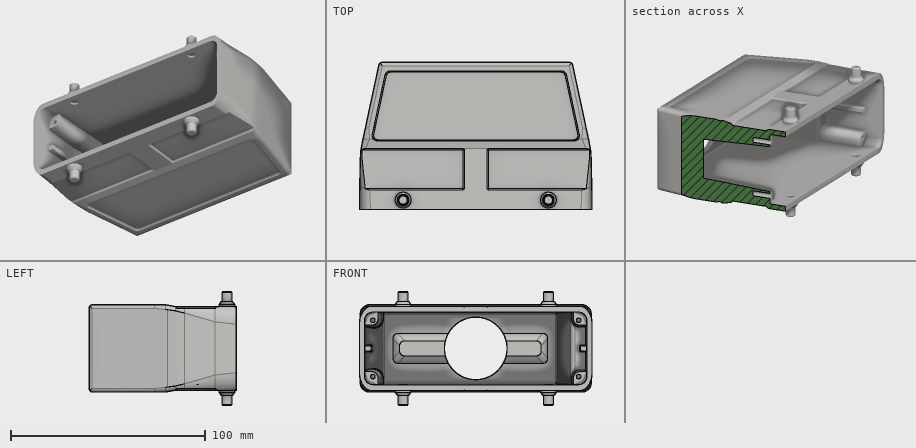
import cadquery as cq


length = 76.0
mouth_half_width = 60.0
rear_half_height = 22.5
front_half_height = 21.6
rim_end = 11.0
rim_end_half_width = 59.9
bend_start = 26.8
bend_start_half_width = 59.5
bend_end = 35.6
bend_end_half_width = 58.3
rear_half_width = 49.7
shoulder_low = 31.5
shoulder_low_half_width = 58.9
shoulder_high = 36.5
rear_edge_radius = 1.9
side_slope = (bend_end_half_width - rear_half_width) / (length - bend_end)

mouth_round = (5.8, 9.1)
rim_round = (5.2, 7.9)
bend_round = (2.6, 3.4)
shoulder_low_round = (2.2, 2.2)
shoulder_high_round = (3.4, 2.5)
rear_round = (1.9, 1.9)
rear_round_start = 42.1
corner_margin = 2.4
bezier_handle = 0.5

wall = 2.9
cavity_mouth_half_width = 57.4
mouth_corner_radius = 4.5
cavity_half_height = front_half_height - wall
floor_half_height = 18.2
floor_round = 0.8
floor_y = length - wall
cavity_bend = 30.0
cavity_bend_half_width = 56.5
left_floor_x = -47.8
ledge_y = 31.8
ledge_edge_x = 49.2
right_floor_x = 41.8
ledge_radius = 2.4

entry_radius = 16.1
pad_length = 79.7
pad_width = 15.4
pad_offset_x = -2.8
pad_height = 3.6
pad_end_run = 3.4
pad_flank_run = 3.8
pad_corner_radius = 2.5

boss_front = 9.0
boss_inner_x = 50.4
boss_inner_z = 12.0
boss_round = 3.1
boss_draft = 2.5
screw_x = 53.0
screw_z = 14.5
screw_radius = 1.2
screw_depth = 9.6
rib_half_height = 1.3
rib_inner_x = 54.0
rib_round = 0.5
rib_draft = 1.2

pin_x = 37.5
pin_y = 4.9
pin_radius = 2.6
pin_tip = 29.3
pin_chamfer = 0.5
collar_radius = 4.1
collar_rim_height = 1.1
collar_height = 2.6
collar_top_radius = 3.0
dimple_radius = 2.5
dimple_depth = 0.7

panel_depth = 1.0
panel_draft = 37.0
panel_front = 10.2
panel_gap = 11.5
panel_corner_radius = 1.1
label_front = 35.3
label_back = 71.5
label_margin = 4.3
label_corner_radius = 2.9


def slanted_half_width(y):
    """Half width of the straight slanted side, continued to any Y."""
    return rear_half_width + side_slope * (length - y)


def mirrored_four(solid):
    """The solid and its copies across the X = 0 and Z = 0 planes."""
    pair = solid.union(solid.mirror("YZ"))
    return pair.union(pair.mirror("XY"))


def half_shell_outline():
    """Right half of the shell in the XY plane, closed along the centre line."""
    return (
        cq.Workplane("XY")
        .moveTo(0, 0)
        .lineTo(mouth_half_width, 0)
        .lineTo(rim_end_half_width, rim_end)
        .lineTo(bend_start_half_width, bend_start)
        .tangentArcPoint((bend_end_half_width, bend_end), relative=False)
        .lineTo(rear_half_width, length)
        .lineTo(0, length)
        .close()
    )


def make_shell():
    """Outer body: the plan and the side profile intersected, with its long edges rounded."""
    half = half_shell_outline().extrude(rear_half_height, both=True)
    rear_corner = cq.selectors.NearestToPointSelector((rear_half_width, length, 0))
    half = half.edges(rear_corner).fillet(rear_edge_radius)
    plan = half.union(half.mirror("YZ"))
    profile = (
        cq.Workplane("YZ")
        .polyline([
            (0, -front_half_height),
            (shoulder_low, -front_half_height),
            (shoulder_high, -rear_half_height),
            (length, -rear_half_height),
            (length, rear_half_height),
            (shoulder_high, rear_half_height),
            (shoulder_low, front_half_height),
            (0, front_half_height),
        ])
        .close()
        .extrude(mouth_half_width, both=True)
        .edges("|X and >Y")
        .fillet(rear_edge_radius)
    )
    return plan.intersect(profile).cut(mirrored_four(edge_cutter()))


def edge_section(y, side, top, rounding):
    """Wire in a constant-Y plane enclosing what the rounded edge removes."""
    round_x, round_z = rounding

    def at(x, z):
        return cq.Vector(x, y, z)

    start = at(side, top - round_z)
    end = at(side - round_x, top)
    reach = 1 - bezier_handle
    curve = cq.Edge.makeBezier([
        start,
        at(side, top - round_z * reach),
        at(side - round_x * reach, top),
        end,
    ])
    outer = [
        end,
        at(side - round_x, top + corner_margin),
        at(side + corner_margin, top + corner_margin),
        at(side + corner_margin, top - round_z - corner_margin / 2),
        start,
    ]
    lines = [cq.Edge.makeLine(a, b) for a, b in zip(outer, outer[1:])]
    return cq.Wire.assembleEdges([curve] + lines)


def edge_cutter():
    """Rounding of one long edge: wide at the mouth, narrow towards the rear."""
    sections = [
        (0, mouth_half_width, front_half_height, mouth_round),
        (rim_end, rim_end_half_width, front_half_height, rim_round),
        (bend_start, bend_start_half_width, front_half_height, bend_round),
        (shoulder_low, shoulder_low_half_width, front_half_height, shoulder_low_round),
        (shoulder_high, slanted_half_width(shoulder_high), rear_half_height, shoulder_high_round),
        (rear_round_start, slanted_half_width(rear_round_start), rear_half_height, rear_round),
        (length, rear_half_width, rear_half_height, rear_round),
    ]
    wires = [edge_section(*section) for section in sections]
    return cq.Workplane(cq.Solid.makeLoft(wires, True))


def make_corner_fill():
    """What rounds the upper right corner of the cavity, from the mouth to the screw boss."""
    return (
        cq.Workplane("XZ")
        .moveTo(cavity_mouth_half_width, cavity_half_height - mouth_corner_radius)
        .radiusArc((cavity_mouth_half_width - mouth_corner_radius, cavity_half_height), -mouth_corner_radius)
        .lineTo(cavity_mouth_half_width - mouth_corner_radius, front_half_height)
        .lineTo(mouth_half_width, front_half_height)
        .lineTo(mouth_half_width, cavity_half_height - mouth_corner_radius)
        .close()
        .extrude(-boss_front)
    )


def make_chamber():
    """Drafted space of the cavity; the right side has a thick wall behind a ledge."""
    plan = (
        cq.Workplane("XY")
        .polyline([
            (-cavity_mouth_half_width, 0),
            (cavity_mouth_half_width, 0),
            (cavity_bend_half_width, ledge_y),
            (ledge_edge_x, ledge_y),
            (right_floor_x, floor_y),
            (left_floor_x, floor_y),
            (-cavity_bend_half_width, cavity_bend),
        ])
        .close()
        .extrude(cavity_half_height, both=True)
        .edges(cq.selectors.NearestToPointSelector((ledge_edge_x, ledge_y, 0)))
        .fillet(ledge_radius)
    )
    profile = (
        cq.Workplane("YZ")
        .polyline([
            (0, -cavity_half_height),
            (floor_y, -floor_half_height),
            (floor_y, floor_half_height),
            (0, cavity_half_height),
        ])
        .close()
        .extrude(mouth_half_width, both=True)
    )
    return plan.intersect(profile).faces(">Y").edges().fillet(floor_round)


def make_boss():
    """Screw boss filling the upper right corner of the cavity, growing towards the rear."""
    boss = (
        cq.Workplane("XZ", origin=(0, boss_front, 0))
        .moveTo(boss_inner_x, boss_inner_z + boss_round)
        .radiusArc((boss_inner_x + boss_round, boss_inner_z), -boss_round)
        .lineTo(mouth_half_width, boss_inner_z)
        .lineTo(mouth_half_width, front_half_height)
        .lineTo(boss_inner_x, front_half_height)
        .close()
        .extrude(-(floor_y - boss_front), taper=-boss_draft)
    )
    hole = (
        cq.Workplane("XZ", origin=(screw_x, boss_front, screw_z))
        .circle(screw_radius)
        .extrude(-screw_depth)
    )
    return boss.cut(hole)


def make_rib():
    """Rib along the middle of the right cavity wall, growing towards the rear."""
    return (
        cq.Workplane("XZ", origin=(mouth_half_width, boss_front, 0))
        .sketch()
        .rect(2 * (mouth_half_width - rib_inner_x), 2 * rib_half_height)
        .vertices()
        .fillet(rib_round)
        .finalize()
        .extrude(boss_front - floor_y, taper=-rib_draft)
    )


def rounded_rectangle(size_x, size_y, radius):
    """Sketch of a centred rectangle with rounded corners."""
    return cq.Sketch().rect(size_x, size_y).vertices().fillet(radius)


def make_pad():
    """Raised pad on the cavity floor with sloped flanks."""
    base = rounded_rectangle(pad_length, pad_width, pad_corner_radius)
    face = rounded_rectangle(pad_length - 2 * pad_end_run, pad_width - 2 * pad_flank_run, pad_corner_radius)
    return (
        cq.Workplane("XZ", origin=(pad_offset_x, floor_y, 0))
        .placeSketch(base, face.moved(cq.Location(cq.Vector(0, 0, pad_height))))
        .loft()
    )


def make_cavity():
    """Hollow space: the chamber less the corner fills, bosses, ribs and pad."""
    cavity = make_chamber()
    cavity = cavity.cut(mirrored_four(make_corner_fill()))
    cavity = cavity.cut(mirrored_four(make_boss()))
    rib = make_rib()
    return cavity.cut(rib).cut(rib.mirror("YZ")).cut(make_pad())


def make_entry():
    """Round cable entry through the pad and the rear wall."""
    entry_start = floor_y - pad_height
    return (
        cq.Workplane("XZ", origin=(0, entry_start, 0))
        .circle(entry_radius)
        .extrude(entry_start - length)
    )


def make_pin():
    """Locking pin on a coned collar, standing on the upper wall."""
    wall_middle = front_half_height - wall / 2
    collar_rim = front_half_height + collar_rim_height
    collar_top = front_half_height + collar_height
    return (
        cq.Workplane("XZ")
        .polyline([
            (0, wall_middle),
            (collar_radius, wall_middle),
            (collar_radius, collar_rim),
            (collar_top_radius, collar_top),
            (pin_radius, collar_top),
            (pin_radius, pin_tip - pin_chamfer),
            (pin_radius - pin_chamfer, pin_tip),
            (0, pin_tip),
        ])
        .close()
        .revolve(360, (0, 0, 0), (0, 1, 0))
        .translate((pin_x, pin_y, 0))
    )


def make_pin_dimple():
    """Shallow cone behind a pin, in the inner face of the wall."""
    return (
        cq.Workplane("XY", origin=(pin_x, pin_y, cavity_half_height - dimple_depth))
        .circle(dimple_radius)
        .workplane(offset=2 * dimple_depth)
        .circle(dimple_radius - dimple_depth)
        .loft()
    )


def sink(outline, corner_radius):
    """Panel recess sunk from an outline, with rounded corners and sloped walls."""
    solid = outline.extrude(-rear_half_height).edges("|Z").fillet(corner_radius)
    face = solid.faces(">Z").wires().toPending()
    return face.extrude(-panel_depth, combine=False, taper=panel_draft)


def make_side_panel():
    """Recess on the right of the front wall, open towards the side."""
    outline = (
        cq.Workplane("XY", origin=(0, 0, front_half_height))
        .moveTo(panel_gap / 2, panel_front)
        .lineTo(mouth_half_width + corner_margin, panel_front)
        .lineTo(mouth_half_width + corner_margin, shoulder_low)
        .lineTo(panel_gap / 2, shoulder_low)
        .close()
    )
    return sink(outline, panel_corner_radius)


def make_label_panel():
    """Large recess on the rear of the upper wall, with its sides parallel to the shell."""
    front_x = slanted_half_width(label_front) - label_margin
    back_x = slanted_half_width(label_back) - label_margin
    outline = (
        cq.Workplane("XY", origin=(0, 0, rear_half_height))
        .polyline([
            (-front_x, label_front),
            (front_x, label_front),
            (back_x, label_back),
            (-back_x, label_back),
        ])
        .close()
    )
    return sink(outline, label_corner_radius)


label_panel = make_label_panel()

result = (
    make_shell()
    .cut(make_cavity())
    .cut(make_entry())
    .cut(mirrored_four(make_side_panel()))
    .cut(label_panel)
    .cut(label_panel.mirror("XY"))
    .union(mirrored_four(make_pin()))
    .cut(mirrored_four(make_pin_dimple()))
)